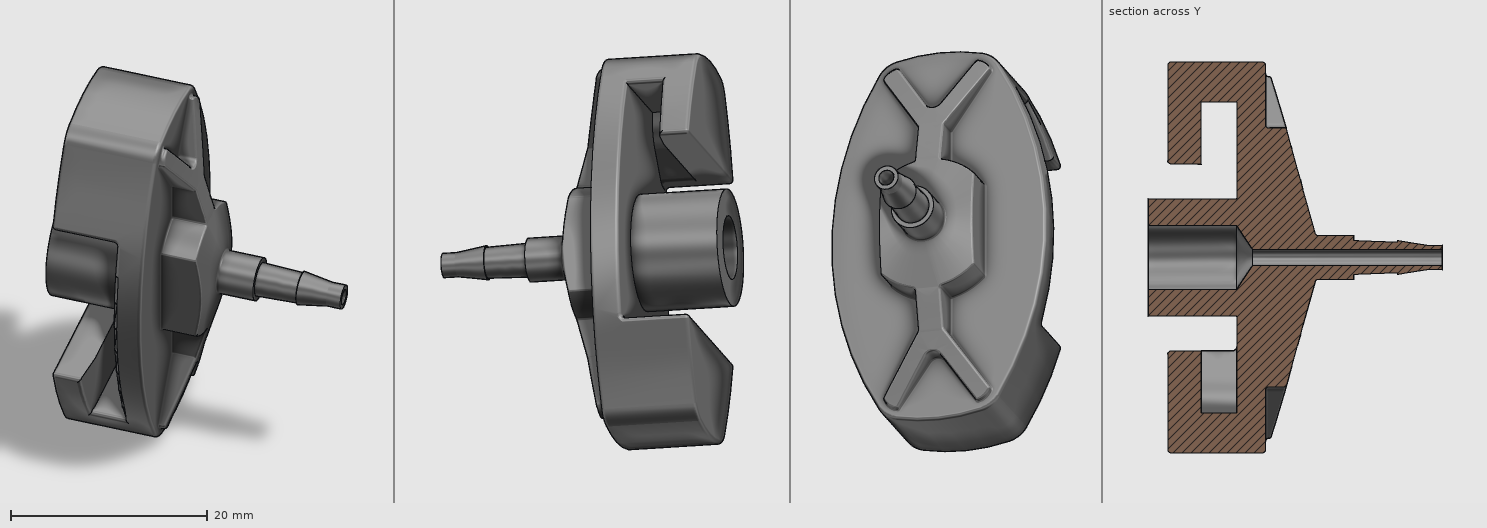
import cadquery as cq
import math

plate_front = 2.0
channel_floor = 9.0
plate_back = 12.0
hub_top = 17.1
neck_end = 20.98
barb_start = 25.4
barb_end = 28.5
total_length = 30.0

tolerance = 0.05

plate_length = 39.88
plate_width = 22.97
side_radius = 34.7
end_radius = plate_length / 2
corner_radius = 3.0
edge_round = 0.4

channel_half = 9.5
pocket_front = 5.42
pocket_reach = 15.85
pocket_wall_at_channel = 7.55
wall_slope_drop = 2.75
wall_round = 4.0
pocket_end_round = 0.8
ramp_inner = 6.4
ramp_outer = 13.95
ramp_slope = 0.1

tube_diameter = 12.0
bore_diameter = 6.5
hole_diameter = 1.6
bore_cone_length = 1.65
neck_diameter = 4.5
hose_diameter = 3.5
hose_waist_diameter = 3.2
tip_diameter = 2.5
neck_fillet = 0.25

hub_height = hub_top - plate_back
hub_slope = 0.276
hub_radius = 7.0
hub_half_width = 5.0
rib_half_width = 1.35
arm_angle = math.radians(35)
arm_outer_apex = 9.1
arm_inner_apex = 12.5
arm_notch_round = 1.0
rib_margin = 1.0
rib_corner_round = 0.3
rib_round = 0.25


def yz_plane(station):
    """Workplane whose local axes are Y and Z and whose normal is +X."""
    return cq.Workplane("YZ", origin=(station, 0, 0))


def with_half_turn_copy(solid):
    """The solid together with its copy half a turn around the X axis."""
    return solid.union(solid.rotate((0, 0, 0), (1, 0, 0), 180))


def round_edges(body, is_wanted, radius):
    """Fillet the edges of the body that satisfy a condition."""
    return body.newObject(body.edges().filter(is_wanted).vals()).fillet(radius)


def outline_prism(start, end, inset=0):
    """Barrel outline: two side arcs and two end arcs with rounded corners."""
    length = end - start
    side_offset = side_radius - plate_width / 2
    left = yz_plane(start).center(side_offset, 0).circle(side_radius - inset).extrude(length)
    right = yz_plane(start).center(-side_offset, 0).circle(side_radius - inset).extrude(length)
    ends = yz_plane(start).circle(end_radius - inset).extrude(length)
    return left.intersect(right).intersect(ends).edges("|X").fillet(corner_radius - inset)


def pocket():
    """Locking pocket in the lower lip, open toward -Y and toward the channel.

    Its end wall leaves the channel at 45 degrees and turns into a convex round at the foot.
    """
    slope_y = pocket_wall_at_channel - wall_slope_drop
    slope_z = -channel_half - wall_slope_drop
    round_offset = wall_round * math.sin(math.radians(45))
    center_y = slope_y + round_offset
    center_z = slope_z - round_offset
    foot_y = center_y - math.sqrt(wall_round**2 - (center_z + pocket_reach) ** 2)
    profile = (
        yz_plane(pocket_front)
        .moveTo(-plate_width, 0)
        .lineTo(pocket_wall_at_channel - channel_half, 0)
        .lineTo(pocket_wall_at_channel, -channel_half)
        .lineTo(slope_y, slope_z)
        .threePointArc((center_y - wall_round, center_z), (foot_y, -pocket_reach))
        .lineTo(-plate_width, -pocket_reach)
        .close()
    )
    return profile.extrude(channel_floor - pocket_front)


def pocket_ramp():
    """Lead-in that widens the pocket toward its mouth."""
    rise = (ramp_outer - ramp_inner) * ramp_slope
    return (
        cq.Workplane("XY", origin=(0, 0, -pocket_reach))
        .moveTo(pocket_front, -ramp_inner)
        .lineTo(pocket_front, -ramp_outer)
        .lineTo(pocket_front - rise, -ramp_outer)
        .close()
        .extrude(pocket_reach)
    )


def plate():
    """Plate with its channel and pockets and all outer edges rounded."""
    channel = cq.Workplane("XY").box(2 * channel_floor, 2 * plate_width, 2 * channel_half)
    body = outline_prism(plate_front, plate_back).cut(channel)
    body = body.cut(with_half_turn_copy(pocket().union(pocket_ramp()).cut(channel)))

    core = outline_prism(plate_front + tolerance, plate_back - tolerance, tolerance).val()
    full_depth = plate_back - plate_front - tolerance

    def is_outer_edge(edge):
        """True for edges on the outside, except the smooth seams between outline arcs."""
        is_seam = edge.BoundingBox().xlen > full_depth
        return not is_seam and not core.isInside(edge.positionAt(0.5))

    def is_channel_corner(edge):
        """True for the short corners left between the channel floor and its lips."""
        middle = edge.positionAt(0.5)
        on_floor = edge.BoundingBox().xlen < tolerance and abs(middle.x - channel_floor) < tolerance
        return on_floor and abs(abs(middle.z) - channel_half) < tolerance and core.isInside(middle)

    def is_pocket_end(edge):
        """True for the edges where the sloped pocket end walls meet the channel lips."""
        middle = edge.positionAt(0.5)
        at_end_wall = abs(abs(middle.y) - pocket_wall_at_channel) < tolerance
        at_lip = abs(abs(middle.z) - channel_half) < tolerance
        return at_end_wall and at_lip and edge.BoundingBox().xlen > edge_round

    body = round_edges(body, is_channel_corner, edge_round)
    body = round_edges(body, is_pocket_end, pocket_end_round)
    return round_edges(body, is_outer_edge, edge_round)


def arm_chevron(apex, height):
    """Wedge of the YZ plane opening toward +Z from its apex, as a prism along X."""
    spread = height * math.tan(arm_angle)
    corners = [(0, apex), (spread, apex + height), (-spread, apex + height)]
    return yz_plane(plate_back).polyline(corners).close().extrude(hub_height)


def rib():
    """Rib toward +Z that forks into two arms."""
    stem_sketch = yz_plane(plate_back).center(0, arm_inner_apex / 2)
    stem = stem_sketch.rect(2 * rib_half_width, arm_inner_apex).extrude(hub_height)
    notch = arm_chevron(arm_inner_apex, plate_length)
    notch = notch.edges("|X").edges("<Z").fillet(arm_notch_round)
    return stem.union(arm_chevron(arm_outer_apex, plate_length)).cut(notch)


def hub():
    """Flat-sided round hub with forked ribs, all topped by one shallow cone."""
    flats = yz_plane(plate_back).rect(2 * hub_half_width, plate_length).extrude(hub_height)
    web = yz_plane(plate_back).circle(hub_radius).extrude(hub_height).intersect(flats)
    web = web.union(with_half_turn_copy(rib())).intersect(outline_prism(plate_back, hub_top, rib_margin))
    web = web.edges("|X").fillet(rib_corner_round)
    neck_radius = neck_diameter / 2
    cone = (
        cq.Workplane("XY")
        .moveTo(plate_back, 0)
        .lineTo(hub_top, 0)
        .lineTo(hub_top, neck_radius)
        .lineTo(hub_top - hub_slope * (end_radius - neck_radius), end_radius)
        .lineTo(plate_back, end_radius)
        .close()
        .revolve(360, (0, 0, 0), (1, 0, 0))
    )
    web = web.intersect(cone)

    def is_below_neck(edge):
        """True for the edges of the cone apart from those on the level top."""
        return edge.BoundingBox().xmax < hub_top - rib_round / 2

    sloped_edges = web.faces("%CONE").edges().filter(is_below_neck)
    return web.newObject(sloped_edges.vals()).fillet(rib_round)


def connector():
    """Solid tube, neck and barbed hose tip along X."""
    steps = [
        (0, tube_diameter),
        (plate_back, tube_diameter),
        (plate_back, neck_diameter),
        (neck_end, neck_diameter),
        (neck_end, hose_diameter),
        (barb_start, hose_waist_diameter),
        (barb_start, hose_diameter),
        (barb_end, tip_diameter),
        (total_length, tip_diameter),
    ]
    profile = cq.Workplane("XY").moveTo(0, 0)
    for station, diameter in steps:
        profile = profile.lineTo(station, diameter / 2)
    return profile.lineTo(total_length, 0).close().revolve(360, (0, 0, 0), (1, 0, 0))


def plate_with_hub():
    """Plate and hub joined, with a small fillet around the foot of the hub."""
    body = plate().union(hub())
    inner_zone = outline_prism(plate_front, plate_back + edge_round, rib_margin - rib_round).val()

    def is_hub_foot(edge):
        """True for edges where the hub meets the back of the plate."""
        box = edge.BoundingBox()
        on_back = max(abs(box.xmin - plate_back), abs(box.xmax - plate_back)) < tolerance
        return on_back and inner_zone.isInside(edge.positionAt(0.5))

    return round_edges(body, is_hub_foot, rib_round)


def passage():
    """Bore of the tube, tapering to the small hole through the connector."""
    return (
        cq.Workplane("XY")
        .lineTo(0, bore_diameter / 2)
        .lineTo(channel_floor, bore_diameter / 2)
        .lineTo(channel_floor + bore_cone_length, hole_diameter / 2)
        .lineTo(total_length, hole_diameter / 2)
        .lineTo(total_length, 0)
        .close()
        .revolve(360, (0, 0, 0), (1, 0, 0))
    )


def solid_body():
    """All solid parts joined, with a fillet where the neck leaves the hub."""
    body = plate_with_hub().union(connector())

    def is_neck_foot(edge):
        """True for the circle where the neck meets the top of the hub."""
        box = edge.BoundingBox()
        return box.xlen < tolerance and abs(box.xmin - hub_top) < tolerance

    return round_edges(body, is_neck_foot, neck_fillet)


result = solid_body().cut(passage())